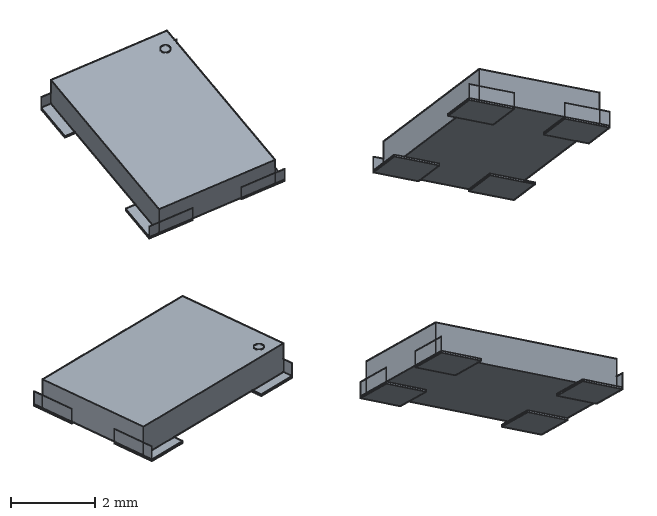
import cadquery as cq

LENGTH = 5.0
WIDTH = 3.74
HEIGHT = 0.85

FOOT_LENGTH = 1.1
FOOT_THICKNESS = 0.05
TERMINAL_WIDTH = 1.2
TERMINAL_HEIGHT = 0.41
WALL_THICKNESS = 0.001

HOUSING_LENGTH = LENGTH - 2 * WALL_THICKNESS
HOUSING_WIDTH = 3.2
HOUSING_HEIGHT = HEIGHT - FOOT_THICKNESS

MARK_DIAMETER = 0.25
MARK_DEPTH = 0.025
MARK_END_INSET = 0.5
MARK_SIDE_INSET = 0.34
MARK_X = -LENGTH / 2 + MARK_END_INSET
MARK_Y = HOUSING_WIDTH / 2 - MARK_SIDE_INSET


def make_mark():
    """Disc whose upper face is level with the housing top."""
    return (
        cq.Workplane("XY", origin=(MARK_X, MARK_Y, HEIGHT - MARK_DEPTH))
        .circle(MARK_DIAMETER / 2)
        .extrude(MARK_DEPTH)
    )


def make_housing(mark):
    """Rectangular block with a recess that holds the mark."""
    block = (
        cq.Workplane("XY", origin=(0, 0, FOOT_THICKNESS))
        .rect(HOUSING_LENGTH, HOUSING_WIDTH)
        .extrude(HOUSING_HEIGHT)
    )
    return block.cut(mark)


def make_terminal(x_side, y_side):
    """L-shaped terminal at the corner given by the signs of X and Y."""
    outer_x = x_side * LENGTH / 2
    wall_inner_x = outer_x - x_side * WALL_THICKNESS
    foot_inner_x = outer_x - x_side * FOOT_LENGTH
    center_y = y_side * (WIDTH - TERMINAL_WIDTH) / 2
    profile = [
        (outer_x, 0),
        (outer_x, TERMINAL_HEIGHT),
        (wall_inner_x, TERMINAL_HEIGHT),
        (wall_inner_x, FOOT_THICKNESS),
        (foot_inner_x, FOOT_THICKNESS),
        (foot_inner_x, 0),
    ]
    return (
        cq.Workplane("XZ", origin=(0, center_y, 0))
        .polyline(profile)
        .close()
        .extrude(TERMINAL_WIDTH / 2, both=True)
    )


mark = make_mark()
housing = make_housing(mark)
terminals = [make_terminal(x_side, y_side) for x_side in (-1, 1) for y_side in (-1, 1)]

result = cq.Compound.makeCompound(
    [housing.val(), mark.val(), *[terminal.val() for terminal in terminals]]
)